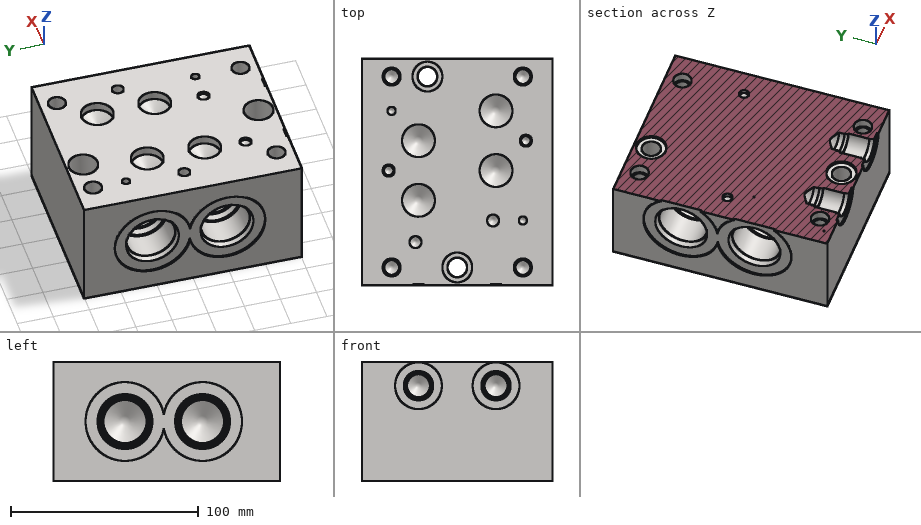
import cadquery as cq
import math

LENGTH_X = 101.6
LENGTH_Y = 120.65
HEIGHT = 63.5

POINT_ANGLE = 118.0
SPOTFACE_DEPTH = 0.8

BOLT_SPACING_X = 69.85
BOLT_SPACING_Y = 101.6
BOLT_X = (LENGTH_X - BOLT_SPACING_X) / 2
BOLT_Y = (LENGTH_Y - BOLT_SPACING_Y) / 2
BOLT_MAJOR_DIAMETER = 9.53
BOLT_DRILL_DIAMETER = 7.92
BOLT_THREAD_DEPTH = 19.0
BOLT_DRILL_DEPTH = 24.0

MAIN_PORT_LEFT_X = 14.29
MAIN_PORT_RIGHT_X = 55.56
MAIN_PORT_OFFSETS = [
    (MAIN_PORT_LEFT_X, 35.72),
    (MAIN_PORT_RIGHT_X, 51.59),
    (MAIN_PORT_LEFT_X, 67.47),
    (MAIN_PORT_RIGHT_X, 83.34),
]
MAIN_PORT_DIAMETER = 17.48
MAIN_PORT_DEPTH = 5.0

PILOT_PORT_OFFSETS = [(12.7, 13.5), (53.98, 25.0)]
PILOT_PORT_DIAMETER = 6.35
PILOT_PORT_DEPTH = 1.6

PIN_OFFSETS = [(0.0, 83.34), (BOLT_SPACING_X, 25.0)]
PIN_DIAMETER = 4.34
PIN_DEPTH = 8.0

SMALL_TAPPED_OFFSETS = [(-1.59, 51.59), (71.44, 67.47)]
SMALL_MAJOR_DIAMETER = 6.35
SMALL_DRILL_DIAMETER = 5.11
SMALL_THREAD_DEPTH = 12.0
SMALL_DRILL_DEPTH = 16.0

MOUNT_OFFSETS = [(19.05, BOLT_SPACING_Y), (BOLT_SPACING_X / 2, 0.0)]
MOUNT_DIAMETER = 10.31
MOUNT_COUNTERBORE_DIAMETER = 15.88
MOUNT_COUNTERBORE_DEPTH = 15.0

FRONT_PORT_DROP = 12.7
FRONT_SPOTFACE_DIAMETER = 24.92
FRONT_MOUTH_DIAMETER = 15.6
FRONT_SEAT_DIAMETER = 14.53
FRONT_SEAT_HALF_ANGLE = 12.0
FRONT_THREAD_DIAMETER = 14.28
FRONT_MINOR_DIAMETER = 12.9
FRONT_DRILL_DIAMETER = 12.29
FRONT_THREAD_DEPTH = 15.0
FRONT_MINOR_DEPTH = 17.0
FRONT_DRILL_DEPTH = 20.0

SIDE_PORT_PITCH = 41.275
SIDE_PORT_YS = [SIDE_PORT_PITCH, 2 * SIDE_PORT_PITCH]
SIDE_SPOTFACE_DIAMETER = 42.0
SIDE_MOUTH_DIAMETER = 29.2
SIDE_SEAT_DIAMETER = 27.43
SIDE_SEAT_HALF_ANGLE = 15.0
SIDE_THREAD_DIAMETER = 26.99
SIDE_MINOR_DIAMETER = 24.92
SIDE_DRILL_DIAMETER = 23.01
SIDE_THREAD_DEPTH = 20.0
SIDE_MINOR_DEPTH = 25.0
SIDE_DRILL_DEPTH = 30.0


def bore(steps):
    """Stepped bore, down from the XY plane: (top diameter, bottom diameter, bottom depth) per step."""
    profile = [(0, 0)]
    depth = 0
    for top_diameter, bottom_diameter, bottom_depth in steps:
        profile.append((top_diameter / 2, -depth))
        profile.append((bottom_diameter / 2, -bottom_depth))
        depth = bottom_depth
    tip_radius = profile[-1][0]
    tip_length = tip_radius / math.tan(math.radians(POINT_ANGLE / 2))
    profile.append((0, -depth - tip_length))
    return cq.Workplane("XZ").polyline(profile).close().revolve(360, (0, 0), (0, 1))


def straight(diameter, depth):
    return (diameter, diameter, depth)


def seat_end(mouth, seat, half_angle):
    """Depth where a conical O-ring seat that starts at the spotface reaches its end diameter."""
    return SPOTFACE_DEPTH + (mouth - seat) / 2 / math.tan(math.radians(half_angle))


def cut_top(block, offsets, tool):
    for offset_x, offset_y in offsets:
        block = block.cut(tool.translate((BOLT_X + offset_x, BOLT_Y + offset_y, HEIGHT)))
    return block


def cut_valve_holes(block):
    corners = [(x, y) for x in (0, BOLT_SPACING_X) for y in (0, BOLT_SPACING_Y)]
    bolt = bore([
        straight(BOLT_MAJOR_DIAMETER, BOLT_THREAD_DEPTH),
        straight(BOLT_DRILL_DIAMETER, BOLT_DRILL_DEPTH),
    ])
    small_tapped = bore([
        straight(SMALL_MAJOR_DIAMETER, SMALL_THREAD_DEPTH),
        straight(SMALL_DRILL_DIAMETER, SMALL_DRILL_DEPTH),
    ])
    block = cut_top(block, corners, bolt)
    block = cut_top(block, SMALL_TAPPED_OFFSETS, small_tapped)
    block = cut_top(block, MAIN_PORT_OFFSETS, bore([straight(MAIN_PORT_DIAMETER, MAIN_PORT_DEPTH)]))
    block = cut_top(block, PILOT_PORT_OFFSETS, bore([straight(PILOT_PORT_DIAMETER, PILOT_PORT_DEPTH)]))
    return cut_top(block, PIN_OFFSETS, bore([straight(PIN_DIAMETER, PIN_DEPTH)]))


def cut_mounting_holes(block):
    hole = bore([
        straight(MOUNT_COUNTERBORE_DIAMETER, MOUNT_COUNTERBORE_DEPTH),
        straight(MOUNT_DIAMETER, HEIGHT),
    ])
    return cut_top(block, MOUNT_OFFSETS, hole)


def cut_front_ports(block):
    seat_depth = seat_end(FRONT_MOUTH_DIAMETER, FRONT_SEAT_DIAMETER, FRONT_SEAT_HALF_ANGLE)
    port = bore([
        straight(FRONT_SPOTFACE_DIAMETER, SPOTFACE_DEPTH),
        (FRONT_MOUTH_DIAMETER, FRONT_SEAT_DIAMETER, seat_depth),
        straight(FRONT_THREAD_DIAMETER, FRONT_THREAD_DEPTH),
        straight(FRONT_MINOR_DIAMETER, FRONT_MINOR_DEPTH),
        straight(FRONT_DRILL_DIAMETER, FRONT_DRILL_DEPTH),
    ])
    port = port.rotate((0, 0, 0), (1, 0, 0), 90)
    for offset_x in (MAIN_PORT_LEFT_X, MAIN_PORT_RIGHT_X):
        block = block.cut(port.translate((BOLT_X + offset_x, 0, HEIGHT - FRONT_PORT_DROP)))
    return block


def cut_side_ports(block):
    seat_depth = seat_end(SIDE_MOUTH_DIAMETER, SIDE_SEAT_DIAMETER, SIDE_SEAT_HALF_ANGLE)
    port = bore([
        straight(SIDE_SPOTFACE_DIAMETER, SPOTFACE_DEPTH),
        (SIDE_MOUTH_DIAMETER, SIDE_SEAT_DIAMETER, seat_depth),
        straight(SIDE_THREAD_DIAMETER, SIDE_THREAD_DEPTH),
        straight(SIDE_MINOR_DIAMETER, SIDE_MINOR_DEPTH),
        straight(SIDE_DRILL_DIAMETER, SIDE_DRILL_DEPTH),
    ])
    port = port.rotate((0, 0, 0), (0, 1, 0), -90)
    for port_y in SIDE_PORT_YS:
        block = block.cut(port.translate((0, port_y, HEIGHT / 2)))
    return block


block = cq.Workplane("XY").box(LENGTH_X, LENGTH_Y, HEIGHT, centered=False)
block = cut_valve_holes(block)
block = cut_mounting_holes(block)
block = cut_front_ports(block)
result = cut_side_ports(block)